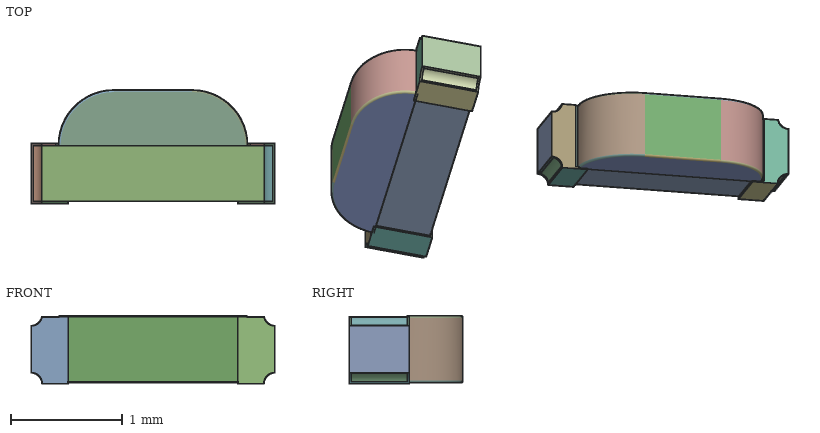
import cadquery as cq

total_length = 2.19
total_depth = 1.02
total_height = 0.61

plating = 0.02
end_plating = 0.022
terminal_depth = 0.54
front_tab_length = 0.333
back_tab_length = 0.223

base_top = 0.6
base_length = total_length - 2 * end_plating
base_back = terminal_depth - plating

groove_radius = 0.099
groove_axis_top = base_top + plating

lens_overhang = total_height - base_top
lens_bottom = plating - lens_overhang
lens_width = 1.7
lens_depth = total_depth - base_back
lens_edge_radius = 0.02


def box_between(x_min, x_max, y_min, y_max, z_min, z_max):
    """Axis-aligned box given by its limits."""
    size = (x_max - x_min, y_max - y_min, z_max - z_min)
    return cq.Workplane("XY").box(*size, centered=False).translate((x_min, y_min, z_min))


def make_end_grooves():
    """Four round cutters, one along each end edge of the part."""
    edges = [(x, z) for x in (-total_length / 2, total_length / 2) for z in (0, groove_axis_top)]
    return (
        cq.Workplane("XZ")
        .pushPoints(edges)
        .circle(groove_radius)
        .extrude(-terminal_depth)
    )


def make_base():
    """Plain block with a groove along each of its end edges."""
    half = base_length / 2
    return box_between(-half, half, plating, base_back, plating, base_top).cut(make_end_grooves())


def make_lens():
    """D-shaped dome: two quarter-round corners joined by a flat, with rounded rims."""
    half = lens_width / 2
    return (
        cq.Workplane("XY", origin=(0, base_back, lens_bottom))
        .moveTo(-half, 0)
        .radiusArc((-half + lens_depth, lens_depth), lens_depth)
        .lineTo(half - lens_depth, lens_depth)
        .radiusArc((half, 0), lens_depth)
        .close()
        .extrude(total_height - lens_bottom)
        .faces("|Z")
        .edges("not(<Y)")
        .fillet(lens_edge_radius)
    )


def make_terminal(side, base, lens):
    """Plating around one end of the base; side is -1 for the -X end and +1 for the +X end."""
    end = -total_length / 2
    front_and_foot = box_between(end, end + front_tab_length, 0, base_back, 0, base_top)
    foot_rear = box_between(end, end + front_tab_length, base_back, terminal_depth, 0, plating)
    back_tab = box_between(end, end + back_tab_length, base_back, terminal_depth, 0, base_top)
    block = front_and_foot.union(back_tab).union(foot_rear)
    if side > 0:
        block = block.mirror("YZ")
    return block.cut(make_end_grooves()).cut(base).cut(lens)


base = make_base()
lens = make_lens()
terminals = [make_terminal(side, base, lens) for side in (-1, 1)]

result = cq.Compound.makeCompound([base.val(), lens.val(), *[terminal.val() for terminal in terminals]])